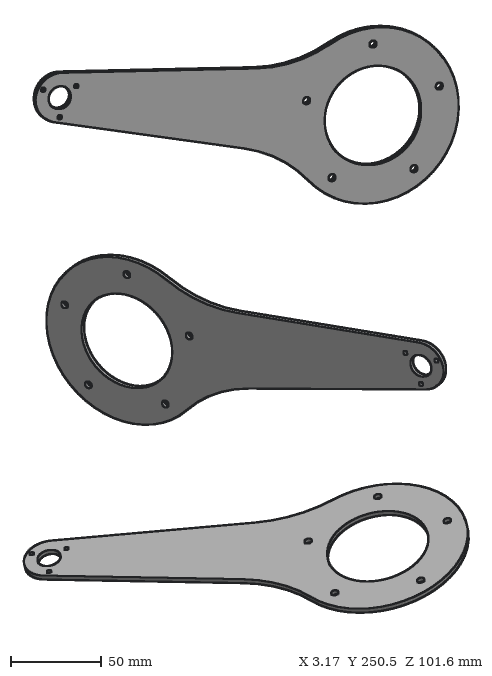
import cadquery as cq
import math

THICKNESS = 3.175
OVERALL_LENGTH = 250.5
DISC_RADIUS = 50.8
BORE_DIAMETER = 57.15
BLEND_RADIUS = 76.2

END_RADIUS = 14.2875
REACH = OVERALL_LENGTH - DISC_RADIUS - END_RADIUS
RISE = 30.2
END_BORE_DIAMETER = 13.1

DISC_BOLT_COUNT = 5
DISC_BOLT_DIAMETER = 4.04
DISC_BOLT_CIRCLE_RADIUS = 41.275
END_BOLT_COUNT = 3
END_BOLT_DIAMETER = 2.38
END_BOLT_CIRCLE_RADIUS = 11.3

UP_ANGLE = 90
DOWN_ANGLE = -90

ARM_LENGTH = math.hypot(REACH, RISE)
ARM_ANGLE = math.atan2(RISE, REACH)
ARM_ROOT_RADIUS = BORE_DIAMETER / 2
TAPER_ANGLE = math.asin((ARM_ROOT_RADIUS - END_RADIUS) / ARM_LENGTH)


def plate_plane(tilt=0):
    """Plane of the plate: local x runs towards -Y, raised by tilt, and extrusion runs towards -X."""
    return cq.Plane(
        origin=(THICKNESS, 0, 0),
        xDir=(0, -math.cos(tilt), math.sin(tilt)),
        normal=(-1, 0, 0),
    )


def polar(centre, radius, angle):
    """Point at the given radius and angle (radians) around a centre."""
    return (centre[0] + radius * math.cos(angle), centre[1] + radius * math.sin(angle))


def mirrored(point):
    """Reflect a point across the arm axis."""
    return (point[0], -point[1])


def make_plate():
    """Outline symmetric about the arm axis, which is the local x axis."""
    edge_normal = math.pi / 2 - TAPER_ANGLE
    end_centre = (ARM_LENGTH, 0)
    end_tangent = polar(end_centre, END_RADIUS, edge_normal)

    centre_distance = DISC_RADIUS + BLEND_RADIUS
    edge_offset = ARM_ROOT_RADIUS + BLEND_RADIUS
    blend_direction = edge_normal - math.acos(edge_offset / centre_distance)
    blend_centre = polar((0, 0), centre_distance, blend_direction)

    disc_tangent = polar((0, 0), DISC_RADIUS, blend_direction)
    edge_tangent = polar(blend_centre, BLEND_RADIUS, edge_normal + math.pi)
    blend_middle_angle = (blend_direction + edge_normal) / 2 + math.pi
    blend_middle = polar(blend_centre, BLEND_RADIUS, blend_middle_angle)

    return (
        cq.Workplane(plate_plane(ARM_ANGLE))
        .moveTo(*disc_tangent)
        .threePointArc(blend_middle, edge_tangent)
        .lineTo(*end_tangent)
        .threePointArc((ARM_LENGTH + END_RADIUS, 0), mirrored(end_tangent))
        .lineTo(*mirrored(edge_tangent))
        .threePointArc(mirrored(blend_middle), mirrored(disc_tangent))
        .threePointArc((-DISC_RADIUS, 0), disc_tangent)
        .close()
        .extrude(THICKNESS)
    )


def make_hole_group(centre, bore_diameter, bolt_diameter, bolt_circle_radius, bolt_count, first_angle):
    """Cutter for a central bore and a ring of bolt holes, all through the plate."""
    plane = cq.Workplane(plate_plane()).center(*centre)
    bore = plane.circle(bore_diameter / 2).extrude(THICKNESS)
    bolts = (
        plane.polarArray(bolt_circle_radius, first_angle, 360, bolt_count)
        .circle(bolt_diameter / 2)
        .extrude(THICKNESS)
    )
    return bore.union(bolts)


disc_holes = make_hole_group(
    (0, 0), BORE_DIAMETER, DISC_BOLT_DIAMETER, DISC_BOLT_CIRCLE_RADIUS, DISC_BOLT_COUNT, UP_ANGLE
)
end_holes = make_hole_group(
    (REACH, RISE), END_BORE_DIAMETER, END_BOLT_DIAMETER, END_BOLT_CIRCLE_RADIUS, END_BOLT_COUNT, DOWN_ANGLE
)

result = make_plate().cut(disc_holes).cut(end_holes)